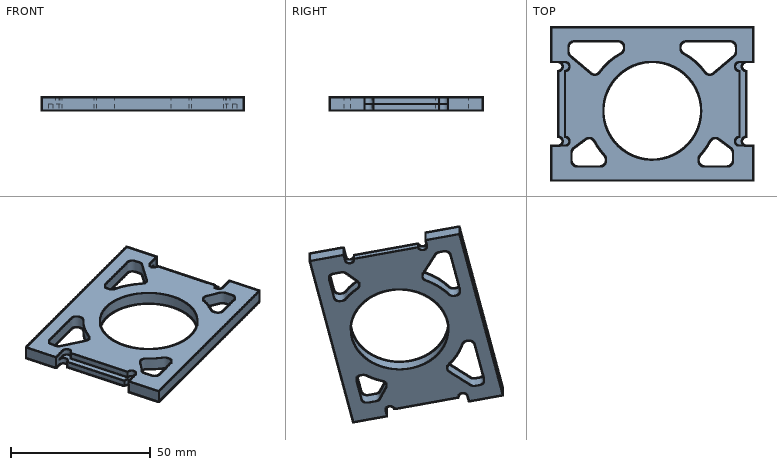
import cadquery as cq
import math

length = 72.5
width = 55.0
thickness = 4.8

bore_diameter = 35.0
bore_y = -2.5

notch_width = 30.0
step_depth = 2.5
step_height = thickness / 2
relief_radius = 1.6

rim_radius = 23.5
window_edge_y = 22.4
window_corner_radius = 2.0
upper_outer_x = 30.0
upper_inner_x = 10.15
upper_slant_y = 17.75
upper_slant_angle = -40.0
lower_outer_x = 28.9
lower_inner_x = 16.7
lower_slant_y = -16.45
lower_slant_angle = 36.5


def notch(depth, bottom):
    """Cutter for the -X end, from bottom up, with round corner reliefs."""
    height = thickness - bottom
    floor_x = -length / 2 + depth
    relief_y = notch_width / 2 - relief_radius
    cutter = cq.Workplane("XY").box(depth, notch_width, height, centered=(False, True, False))
    cutter = cutter.translate((-length / 2, 0, bottom))
    reliefs = (
        cq.Workplane("XY", origin=(0, 0, bottom))
        .pushPoints([(floor_x, -relief_y), (floor_x, relief_y)])
        .circle(relief_radius)
        .extrude(height)
    )
    return cutter.union(reliefs)


def window(outer_x, inner_x, edge_y, slant_y, slant_angle):
    """Cutter on the -X side, trimmed by the bore rim, with rounded corners.

    The slanted side climbs or drops toward the Y axis by slant_angle and ends inside the rim.
    """
    slant_end_y = slant_y + (outer_x - inner_x) * math.tan(math.radians(slant_angle))
    outline = [
        (-outer_x, edge_y),
        (-inner_x, edge_y),
        (-inner_x, slant_end_y),
        (-outer_x, slant_y),
    ]
    rim = cq.Workplane("XY").center(0, bore_y).circle(rim_radius).extrude(thickness)
    cutter = cq.Workplane("XY").polyline(outline).close().extrude(thickness)
    return cutter.cut(rim).edges("|Z").fillet(window_corner_radius)


plate = cq.Workplane("XY").box(length, width, thickness, centered=(True, True, False))
bore = cq.Workplane("XY").center(0, bore_y).circle(bore_diameter / 2).extrude(thickness)
result = plate.cut(bore)

for cutter in (
    notch(step_depth, 0),
    notch(2 * step_depth, step_height),
    window(upper_outer_x, upper_inner_x, window_edge_y, upper_slant_y, upper_slant_angle),
    window(lower_outer_x, lower_inner_x, -window_edge_y, lower_slant_y, lower_slant_angle),
):
    result = result.cut(cutter).cut(cutter.mirror("YZ"))